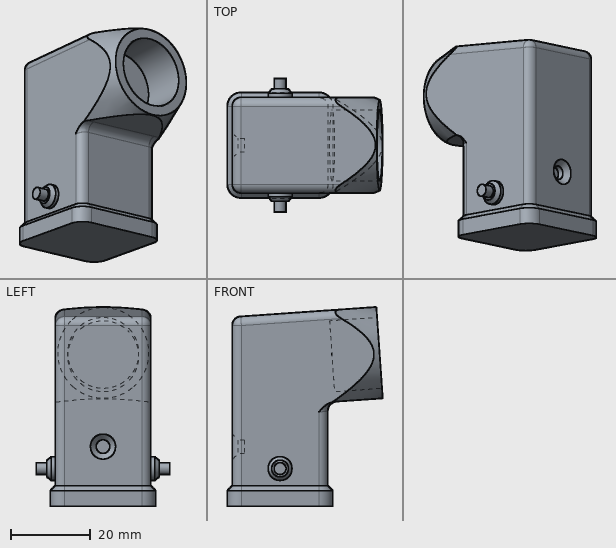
import cadquery as cq
import math

foot_size = 26.5
foot_height = 4.0
foot_overhang = 1.25

body_size = foot_size - 2 * foot_overhang
body_half = body_size / 2
corner_radius = 2.25
foot_corner_radius = corner_radius + foot_overhang
inner_bend_radius = 2.25

tilt_deg = 4.0
outlet_height = 23.0
outlet_bottom_x = 25.75
top_z = 50.0
outlet_mouth_radius = 11.4
outlet_cone_deg = 22.5
bore_radius = 8.9
bore_depth = 12.0

pin_z = 9.5
pin_radius = 1.5
pin_tip_y = 16.75
boss_radius = 3.0
boss_tip_radius = 2.1
boss_straight_y = 12.95
boss_tip_y = 14.1

screw_z = 15.0
screw_radius = 1.7
countersink_radius = 3.15
screw_depth = 3.0

tilt = math.radians(tilt_deg)
mouth_top = (outlet_bottom_x - outlet_height * math.sin(tilt), top_z)
mouth_bottom = (outlet_bottom_x, top_z - outlet_height * math.cos(tilt))


def z_on_slope(point, x):
    """Height at x of the line through point that rises with the outlet tilt."""
    return point[1] + (x - point[0]) * math.tan(tilt)


def side_profile(points):
    """Outline in the XZ plane, as thick as the body along Y."""
    return cq.Workplane("XZ").polyline(points).close().extrude(body_half, both=True)


def make_shell():
    """Upright body and tilted outlet, blended at the inner bend and rounded along the edges."""
    body = side_profile(
        [
            (-body_half, 0),
            (body_half, 0),
            (body_half, z_on_slope(mouth_top, body_half)),
            (-body_half, z_on_slope(mouth_top, -body_half)),
        ]
    )
    body = body.edges("|Z and >X").fillet(corner_radius)
    outlet = side_profile(
        [
            (0, z_on_slope(mouth_bottom, 0)),
            mouth_bottom,
            mouth_top,
            (0, z_on_slope(mouth_top, 0)),
        ]
    )
    shell = body.union(outlet)

    bend_corner = (body_half, 0, z_on_slope(mouth_bottom, body_half))
    shell = shell.edges(cq.selectors.NearestToPointSelector(bend_corner)).fillet(inner_bend_radius)

    rear_edges = shell.faces("<X").edges("not <Z")
    top_side_edges = shell.faces(">Z").edges("not |Y")
    return shell.newObject(rear_edges.vals() + top_side_edges.vals()).fillet(corner_radius)


def mouth_plane():
    """Plane of the outlet mouth, facing out of the hood."""
    centre_x = (mouth_top[0] + mouth_bottom[0]) / 2
    centre_z = (mouth_top[1] + mouth_bottom[1]) / 2
    return cq.Plane((centre_x, 0, centre_z), xDir=(0, 1, 0), normal=(math.cos(tilt), 0, math.sin(tilt)))


def make_outlet_trim():
    """Ring that leaves a cone when cut from the outlet; the cone runs out at the outlet's corners."""
    mouth = mouth_plane()
    corner_distance = math.hypot(body_half, outlet_height / 2)
    cone_length = (corner_distance - outlet_mouth_radius) / math.tan(math.radians(outlet_cone_deg))
    blank = cq.Workplane(mouth).circle(corner_distance).extrude(-cone_length)
    cone = cq.Solid.makeCone(outlet_mouth_radius, corner_distance, cone_length, mouth.origin, -mouth.zDir)
    return blank.cut(cq.Workplane(cone))


def make_foot():
    foot = cq.Workplane("XY").rect(foot_size, foot_size).extrude(foot_height + foot_overhang)
    return foot.edges("|Z").fillet(foot_corner_radius).faces(">Z").chamfer(foot_overhang)


def make_pins():
    """Pins on conical bosses, turned about one axis through the body."""
    half = (
        cq.Workplane("XY")
        .lineTo(boss_radius, 0)
        .lineTo(boss_radius, boss_straight_y)
        .lineTo(boss_tip_radius, boss_tip_y)
        .lineTo(pin_radius, boss_tip_y)
        .lineTo(pin_radius, pin_tip_y)
        .lineTo(0, pin_tip_y)
        .close()
        .revolve(360, (0, 0), (0, 1))
    )
    return half.union(half.mirror("XZ")).translate((0, 0, pin_z))


def make_bore():
    """Blind cable bore, square to the outlet mouth."""
    return cq.Workplane(mouth_plane()).circle(bore_radius).extrude(-bore_depth)


def make_screw_hole():
    """Blind hole with a 90 degree countersink in the -X face."""
    start = cq.Vector(-body_half, 0, screw_z)
    inward = cq.Vector(1, 0, 0)
    countersink_depth = countersink_radius - screw_radius
    hole = cq.Solid.makeCylinder(screw_radius, screw_depth, start, inward)
    countersink = cq.Solid.makeCone(countersink_radius, screw_radius, countersink_depth, start, inward)
    return cq.Workplane(hole).union(cq.Workplane(countersink))


hood = make_shell().cut(make_outlet_trim())
hood = hood.union(make_foot()).union(make_pins())
result = hood.cut(make_bore()).cut(make_screw_hole())